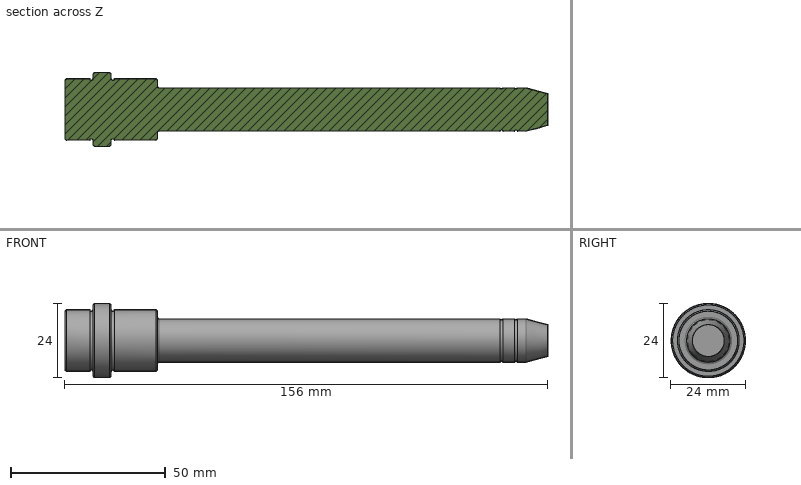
import cadquery as cq

total_length = 156.0
head_diameter = 20.0
head_length = 30.0
flange_diameter = 24.0
flange_start = 9.0
flange_end = 15.0
shaft_diameter = 14.0

edge_chamfer = 0.5
root_fillet = 0.5

undercut_width = 1.0
undercut_depth = 0.5

groove_starts = (140.5, 145.2)
groove_width = 1.0
groove_depth = 0.3

tip_length = 7.0
tip_diameter = 10.3

head_radius = head_diameter / 2
flange_radius = flange_diameter / 2
shaft_radius = shaft_diameter / 2
tip_radius = tip_diameter / 2


def draw_chamfered_cylinder(profile, start, end, radius, start_chamfered=True, end_chamfered=True):
    """Outline of a cylinder along X, with a chamfer on the chosen ends."""
    if start_chamfered:
        profile = profile.lineTo(start, radius - edge_chamfer).lineTo(start + edge_chamfer, radius)
    if end_chamfered:
        return profile.lineTo(end - edge_chamfer, radius).lineTo(end, radius - edge_chamfer)
    return profile.lineTo(end, radius)


def draw_round_groove(profile, start, width, radius, depth):
    """Round-bottomed groove sunk into a cylinder of the given radius."""
    return profile.threePointArc((start + width / 2, radius - depth), (start + width, radius))


def draw_head(profile):
    """Front cylinder, flange between its undercuts, and rear cylinder."""
    front_end = flange_start - undercut_width
    profile = draw_chamfered_cylinder(profile, 0, front_end, head_radius, end_chamfered=False)
    profile = draw_round_groove(profile, front_end, undercut_width, head_radius, undercut_depth)
    profile = draw_chamfered_cylinder(profile, flange_start, flange_end, flange_radius)
    profile = profile.lineTo(flange_end, head_radius)
    profile = draw_round_groove(profile, flange_end, undercut_width, head_radius, undercut_depth)
    rear_start = flange_end + undercut_width
    return draw_chamfered_cylinder(profile, rear_start, head_length, head_radius, start_chamfered=False)


def draw_shaft(profile):
    """Root fillet, shaft with its ring grooves, and conical tip."""
    profile = profile.lineTo(head_length, shaft_radius + root_fillet)
    profile = profile.radiusArc((head_length + root_fillet, shaft_radius), -root_fillet)
    for groove_start in groove_starts:
        profile = profile.lineTo(groove_start, shaft_radius)
        profile = draw_round_groove(profile, groove_start, groove_width, shaft_radius, groove_depth)
    profile = profile.lineTo(total_length - tip_length, shaft_radius)
    return profile.lineTo(total_length, tip_radius).lineTo(total_length, 0)


half_profile = draw_shaft(draw_head(cq.Workplane("XY").moveTo(0, 0))).close()
result = half_profile.revolve(360, (0, 0, 0), (1, 0, 0))